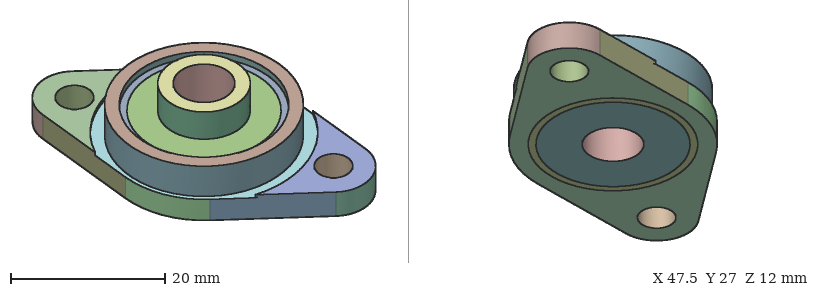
import cadquery as cq
import math

overall_length = 47.46
flange_width = 27.03
flange_thickness = 4.0
mount_hole_spacing = 36.5
mount_hole_diameter = 5.0
ear_offset = mount_hole_spacing / 2
ear_radius = overall_length / 2 - ear_offset
middle_radius = flange_width / 2

boss_diameter = 25.8
boss_top = 8.5
step_diameter = 29.5
step_depth = 0.5
step_height = flange_thickness - step_depth

bearing_diameter = 22.0
bearing_recess = 1.0
bearing_top = boss_top - bearing_recess
inner_ring_diameter = 20.0
hub_diameter = 12.0
hub_top = 12.0
shaft_diameter = 8.0


def cylinder(diameter, bottom, top):
    """Upright cylinder on the bearing axis."""
    return cq.Workplane("XY").workplane(offset=bottom).circle(diameter / 2).extrude(top - bottom)


def make_flange():
    """Rounded rhombus plate; every arc is tangent to the straight sides."""
    sine = (middle_radius - ear_radius) / ear_offset
    cosine = math.sqrt(1 - sine**2)
    middle_x = middle_radius * sine
    middle_y = middle_radius * cosine
    ear_x = ear_offset + ear_radius * sine
    ear_y = ear_radius * cosine
    ear_tip = overall_length / 2
    return (
        cq.Workplane("XY")
        .moveTo(-middle_x, middle_y)
        .threePointArc((0, middle_radius), (middle_x, middle_y))
        .lineTo(ear_x, ear_y)
        .threePointArc((ear_tip, 0), (ear_x, -ear_y))
        .lineTo(middle_x, -middle_y)
        .threePointArc((0, -middle_radius), (-middle_x, -middle_y))
        .lineTo(-ear_x, -ear_y)
        .threePointArc((-ear_tip, 0), (-ear_x, ear_y))
        .close()
        .extrude(flange_thickness)
    )


def make_housing():
    """Flange with a raised boss, a through bore for the bearing and two mounting holes."""
    mount_holes = (
        cq.Workplane("XY")
        .pushPoints([(-ear_offset, 0), (ear_offset, 0)])
        .circle(mount_hole_diameter / 2)
        .extrude(flange_thickness)
    )
    return (
        make_flange()
        .cut(cylinder(step_diameter, step_height, flange_thickness))
        .union(cylinder(boss_diameter, 0, boss_top))
        .cut(cylinder(bearing_diameter, 0, boss_top))
        .cut(mount_holes)
    )


def make_outer_ring():
    """Thin ring seated in the housing bore."""
    outside = cylinder(bearing_diameter, 0, bearing_top)
    return outside.cut(cylinder(inner_ring_diameter, 0, bearing_top))


def make_inner_ring():
    """Disc filling the outer ring, with a raised hub bored for the shaft."""
    disc = cylinder(inner_ring_diameter, 0, bearing_top)
    hub = cylinder(hub_diameter, 0, hub_top)
    return disc.union(hub).cut(cylinder(shaft_diameter, 0, hub_top))


housing = make_housing()
outer_ring = make_outer_ring()
inner_ring = make_inner_ring()

bodies = [housing, outer_ring, inner_ring]
result = cq.Compound.makeCompound([body.solids().val() for body in bodies])